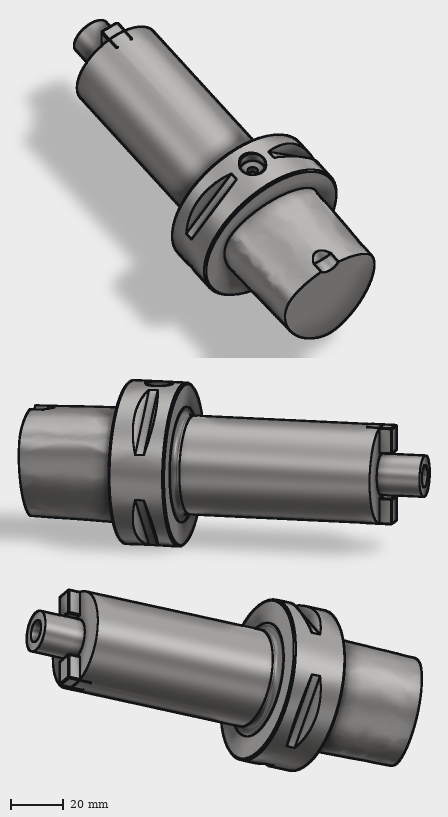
import cadquery as cq
import math

TOTAL_LENGTH = 155.0
KEY_START = 12.0
BODY_START = 16.9
KEY_END = 21.9
NECK_START = 92.0
NECK_FILLET_START = 93.2
FLANGE_START = 95.0
FLANGE_END = 117.0
GROOVE_CENTRE = 105.0

PILOT_DIAMETER = 16.0
BODY_DIAMETER = 38.0
NECK_DIAMETER = 37.8
FLANGE_DIAMETER = 63.0
FLANGE_CHAMFER = 0.6

RECESS_RADIUS = 22.2
RECESS_DEPTH = 0.2

PILOT_BORE_DIAMETER = 8.5
PILOT_BORE_DEPTH = 5.0

KEY_WIDTH = 7.9
KEY_INNER = 8.7
KEY_OUTER = 18.8
KEY_EDGE_CHAMFER = 0.39

SHANK_BASE_RADIUS = 22.2
SHANK_END_RADIUS = 21.2
LOBE_HEIGHT = 1.47
LOBE_COUNT = 3
OUTLINE_POINTS = 48

GROOVE_COUNT = 4
GROOVE_FLOOR_RADIUS = 27.6
GROOVE_FLOOR_WIDTH = 3.4
GROOVE_MOUTH_WIDTH = 8.0

POCKET_DIAMETER = 10.0
POCKET_DEPTH = 5.0
POCKET_CHAMFER = 0.5
PILOT_HOLE_DIAMETER = 4.0
PILOT_HOLE_DEPTH = 3.1
DRILL_POINT_ANGLE = 118

NOTCH_RADIUS = 4.8
NOTCH_LENGTH = 5.9
NOTCH_DEPTH = 2.5
NOTCH_RUNOUT_ANGLE = 45


def make_turned_body():
    pilot_radius = PILOT_DIAMETER / 2
    body_radius = BODY_DIAMETER / 2
    neck_radius = NECK_DIAMETER / 2
    flange_radius = FLANGE_DIAMETER / 2
    recess_floor = FLANGE_START + RECESS_DEPTH
    fillet_radius = recess_floor - NECK_FILLET_START
    fillet_mid = fillet_radius * math.sqrt(0.5)
    profile = (
        cq.Workplane("XY")
        .lineTo(0, pilot_radius)
        .lineTo(BODY_START, pilot_radius)
        .lineTo(BODY_START, body_radius)
        .lineTo(NECK_START, body_radius)
        .lineTo(NECK_START, neck_radius)
        .lineTo(NECK_FILLET_START, neck_radius)
        .threePointArc(
            (NECK_FILLET_START + fillet_mid, neck_radius + fillet_radius - fillet_mid),
            (recess_floor, neck_radius + fillet_radius),
        )
        .lineTo(recess_floor, RECESS_RADIUS)
        .lineTo(FLANGE_START, RECESS_RADIUS)
        .lineTo(FLANGE_START, flange_radius - FLANGE_CHAMFER)
        .lineTo(FLANGE_START + FLANGE_CHAMFER, flange_radius)
        .lineTo(FLANGE_END - FLANGE_CHAMFER, flange_radius)
        .lineTo(FLANGE_END, flange_radius - FLANGE_CHAMFER)
        .lineTo(FLANGE_END, 0)
        .close()
    )
    return profile.revolve(360, (0, 0, 0), (1, 0, 0))


def lobed_outline(mean_radius):
    """Points of a constant-width lobed curve with one lobe towards -Z."""
    points = []
    for index in range(OUTLINE_POINTS):
        angle = 2 * math.pi * index / OUTLINE_POINTS
        support = mean_radius + LOBE_HEIGHT * math.sin(LOBE_COUNT * angle)
        slope = LOBE_COUNT * LOBE_HEIGHT * math.cos(LOBE_COUNT * angle)
        y = support * math.cos(angle) - slope * math.sin(angle)
        z = support * math.sin(angle) + slope * math.cos(angle)
        points.append((y, z))
    return points


def make_shank():
    return (
        cq.Workplane("YZ", origin=(FLANGE_END, 0, 0))
        .spline(lobed_outline(SHANK_BASE_RADIUS), periodic=True)
        .close()
        .workplane(offset=TOTAL_LENGTH - FLANGE_END)
        .spline(lobed_outline(SHANK_END_RADIUS), periodic=True)
        .close()
        .loft(ruled=True)
    )


def make_key():
    return (
        cq.Workplane("XY")
        .box(KEY_END - KEY_START, KEY_WIDTH, KEY_OUTER - KEY_INNER, centered=(False, True, False))
        .edges("|X or <X")
        .chamfer(KEY_EDGE_CHAMFER)
        .translate((KEY_START, 0, KEY_INNER))
    )


def make_groove_cutter():
    """Flat-bottomed V bar lying across the top of the flange."""
    floor_half = GROOVE_FLOOR_WIDTH / 2
    mouth_half = GROOVE_MOUTH_WIDTH / 2
    return (
        cq.Workplane("XZ", origin=(GROOVE_CENTRE, 0, 0))
        .moveTo(-floor_half, GROOVE_FLOOR_RADIUS)
        .lineTo(floor_half, GROOVE_FLOOR_RADIUS)
        .lineTo(mouth_half, FLANGE_DIAMETER / 2)
        .lineTo(-mouth_half, FLANGE_DIAMETER / 2)
        .close()
        .extrude(FLANGE_DIAMETER / 2, both=True)
    )


def make_flange_hole_cutter():
    """Revolved stepped hole, with its axis along Z."""
    pocket_radius = POCKET_DIAMETER / 2
    pilot_radius = PILOT_HOLE_DIAMETER / 2
    mouth = FLANGE_DIAMETER / 2
    pocket_floor = mouth - POCKET_DEPTH
    pilot_floor = pocket_floor - PILOT_HOLE_DEPTH
    point_depth = pilot_radius / math.tan(math.radians(DRILL_POINT_ANGLE / 2))
    return (
        cq.Workplane("XZ", origin=(GROOVE_CENTRE, 0, 0))
        .moveTo(0, mouth)
        .lineTo(pocket_radius + POCKET_CHAMFER, mouth)
        .lineTo(pocket_radius, mouth - POCKET_CHAMFER)
        .lineTo(pocket_radius, pocket_floor)
        .lineTo(pilot_radius, pocket_floor)
        .lineTo(pilot_radius, pilot_floor)
        .lineTo(0, pilot_floor - point_depth)
        .close()
        .revolve(360, (0, 0, 0), (0, 1, 0))
    )


def make_notch_cutter():
    """Round channel along X that runs out upwards at its inner end."""
    top_surface = SHANK_END_RADIUS - LOBE_HEIGHT
    axis_height = top_surface - NOTCH_DEPTH + NOTCH_RADIUS
    reach = 4 * NOTCH_RADIUS
    runout = math.radians(NOTCH_RUNOUT_ANGLE)
    notch_start = TOTAL_LENGTH - NOTCH_LENGTH
    bend = notch_start + NOTCH_RADIUS * math.tan(runout / 2)
    path = (
        cq.Workplane("XZ")
        .moveTo(TOTAL_LENGTH, axis_height)
        .lineTo(bend, axis_height)
        .lineTo(bend - reach * math.cos(runout), axis_height + reach * math.sin(runout))
    )
    return (
        cq.Workplane("YZ", origin=(TOTAL_LENGTH, 0, axis_height))
        .circle(NOTCH_RADIUS)
        .sweep(path, transition="right")
    )


result = make_turned_body().union(make_shank())

key = make_key()
for key_angle in (0, 180):
    result = result.union(key.rotate((0, 0, 0), (1, 0, 0), key_angle))

groove_cutter = make_groove_cutter()
for groove_index in range(GROOVE_COUNT):
    groove_angle = (groove_index + 0.5) * 360 / GROOVE_COUNT
    result = result.cut(groove_cutter.rotate((0, 0, 0), (1, 0, 0), groove_angle))

pilot_bore = cq.Workplane("YZ").circle(PILOT_BORE_DIAMETER / 2).extrude(PILOT_BORE_DEPTH)
result = result.cut(pilot_bore).cut(make_flange_hole_cutter()).cut(make_notch_cutter())